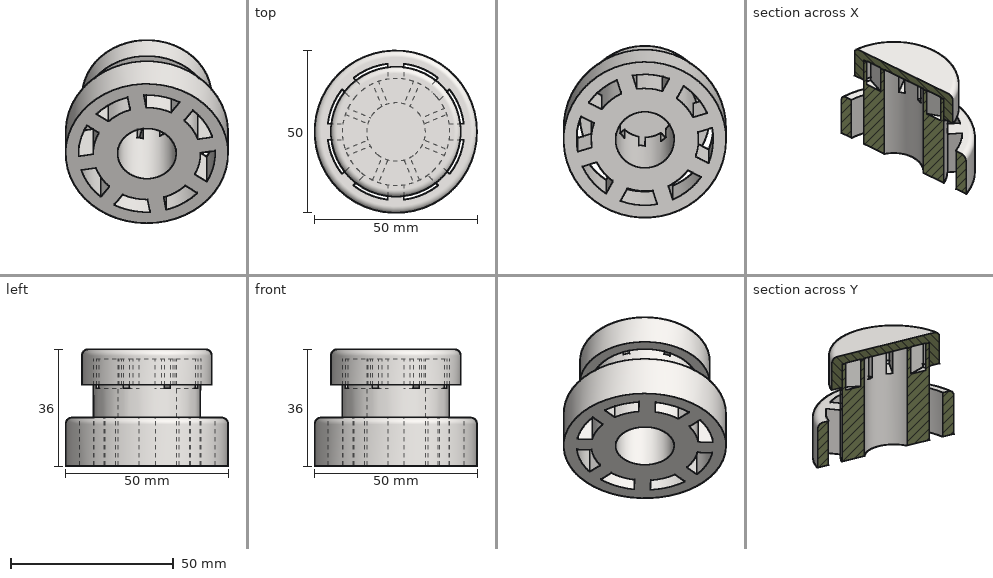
import cadquery as cq

base_diameter = 50.0
base_height = 15.0
base_opening_diameter = 42.0
rib_count = 8
rib_width = 5.0
rib_overlap = 1.0

stem_diameter = 33.0
stem_bore_diameter = 18.0
stem_height = 33.0
vent_count = 8
vent_width = 2.0
vent_bottom = 24.0

cap_diameter = 40.0
cap_bottom = 25.0
cap_top = 36.0
cap_clearance = 0.02
cap_bore_diameter = stem_diameter + cap_clearance

edge_radius = 2.0


def cylinder(diameter, bottom, top):
    """Upright cylinder on the Z axis between two heights."""
    return cq.Workplane("XY").workplane(offset=bottom).circle(diameter / 2).extrude(top - bottom)


def rounded_cylinder(diameter, bottom, top):
    """Upright cylinder with its top rim rounded."""
    return cylinder(diameter, bottom, top).faces(">Z").edges().fillet(edge_radius)


def radial_bar(reach, width, bottom, top, angle):
    """Bar running from the Z axis outward to the given reach, turned by an angle about Z."""
    bar = cq.Workplane("XY").workplane(offset=bottom).center(reach / 2, 0).rect(reach, width)
    return bar.extrude(top - bottom).rotate((0, 0, 0), (0, 0, 1), angle)


def make_stem():
    """Tube with vent slots midway between the ribs, open at the top rim."""
    stem = cylinder(stem_diameter, 0, stem_height)
    stem = stem.cut(cylinder(stem_bore_diameter, 0, stem_height))
    vent_pitch = 360 / vent_count
    for i in range(vent_count):
        angle = (i + 0.5) * vent_pitch
        stem = stem.cut(radial_bar(stem_diameter, vent_width, vent_bottom, stem_height, angle))
    return stem


def make_base():
    """Round-edged ring, ribs across the annular opening, and the stem, as one solid."""
    base = rounded_cylinder(base_diameter, 0, base_height)
    base = base.cut(cylinder(base_opening_diameter, 0, base_height))
    rib_reach = base_opening_diameter / 2 + rib_overlap
    for i in range(rib_count):
        base = base.union(radial_bar(rib_reach, rib_width, 0, base_height, i * 360 / rib_count))
    base = base.cut(cylinder(stem_diameter, 0, base_height))
    return base.union(make_stem())


def make_cap():
    """Round-edged cap with a blind bore that rests on the stem's top rim."""
    cap = rounded_cylinder(cap_diameter, cap_bottom, cap_top)
    return cap.cut(cylinder(cap_bore_diameter, cap_bottom, stem_height))


base = make_base()
cap = make_cap()

result = cq.Compound.makeCompound([base.solids().val(), cap.solids().val()])